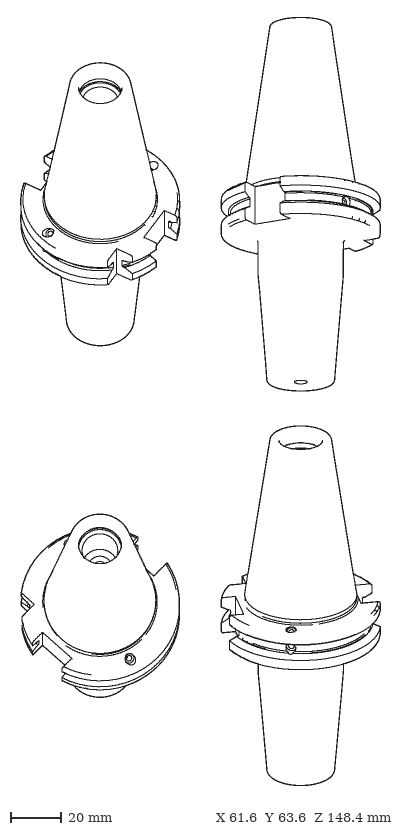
import cadquery as cq
import math

TOTAL_LENGTH = 148.4
EDGE_MATCH_TOLERANCE = 0.01

TAPER_RATE = 7 / 24
GAUGE_RADIUS = 22.3
GAUGE_Z = 80.0
TAPER_BOTTOM_Z = 79.0
TOP_EDGE_FILLET = 0.9

NECK_RADIUS = 22.3
NECK_TOP_Z = 78.0
NECK_FILLET = 0.6

FLANGE_RADIUS = 31.8
FLANGE_TOP_Z = 76.7
FLANGE_BOTTOM_Z = 61.0
FLANGE_HEIGHT = FLANGE_TOP_Z - FLANGE_BOTTOM_Z
FLANGE_EDGE_FILLET = 0.9
GROOVE_CENTRE_Z = 69.0
GROOVE_MOUTH = 7.1
GROOVE_ROOT_RADIUS = 28.0
GROOVE_ROOT_WIDTH = 3.9
GROOVE_ROOT_FILLET = 0.5
GROOVE_WALL_ANGLE = 30.0

KEYWAY_WIDTH = 16.0
LEFT_KEYWAY_X = -22.9
RIGHT_KEYWAY_X = 25.0
NOTCH_CORNER = 18.5

NOSE_RADIUS = 17.0
NOSE_FILLET = 3.0
NOSE_TAPER_Z = 44.5
NOSE_TIP_RADIUS = 13.5
NOSE_TIP_FILLET = 1.2

BORE_RADIUS = 8.6
BORE_DEPTH = 8.6
BORE_MOUTH_FILLET = 0.9
UNDERCUT_RADIUS = 9.2
UNDERCUT_START_DEPTH = 6.1
THREAD_RADIUS = 7.1
THREAD_MOUTH_HEIGHT = 0.9
THREAD_DEPTH = 29.7
DRILL_POINT_ANGLE = 118.0
FLOOR_RADIUS = 4.7
THROUGH_RADIUS = 2.5

COOLANT_ANGLES = (70.0, 250.0)
COOLANT_DIAMETER = 2.2
COUNTERBORE_DIAMETER = 4.0
COUNTERBORE_DEPTH = 2.1
COOLANT_MOUTH_RADIUS = 27.0
COOLANT_TILT = 35.0
COOLANT_OUTLET_Z = 68.9


def taper_radius(z):
    return GAUGE_RADIUS - (z - GAUGE_Z) * TAPER_RATE / 2


def revolve_outline(points):
    """Revolve a closed (radius, z) outline about the Z axis."""
    return cq.Workplane("XZ").polyline(points).close().revolve(360, (0, 0, 0), (0, 1, 0))


def fillet_circle(solid, radius, z, fillet):
    """Round the circular edges of the given radius that lie at height z."""
    def is_wanted(edge):
        radius_error = abs(edge.radius() - radius)
        height_error = abs(edge.Center().z - z)
        return max(radius_error, height_error) < EDGE_MATCH_TOLERANCE

    return solid.edges("%CIRCLE").filter(is_wanted).fillet(fillet)


def make_body():
    top_radius = taper_radius(TOTAL_LENGTH)
    half_root = GROOVE_ROOT_WIDTH / 2
    half_mouth = GROOVE_MOUTH / 2
    wall_foot_radius = FLANGE_RADIUS - (half_mouth - half_root) / math.tan(math.radians(GROOVE_WALL_ANGLE))
    body = revolve_outline(
        [
            (0, 0),
            (NOSE_TIP_RADIUS, 0),
            (NOSE_RADIUS, NOSE_TAPER_Z),
            (NOSE_RADIUS, FLANGE_BOTTOM_Z),
            (FLANGE_RADIUS, FLANGE_BOTTOM_Z),
            (FLANGE_RADIUS, GROOVE_CENTRE_Z - half_mouth),
            (wall_foot_radius, GROOVE_CENTRE_Z - half_root),
            (GROOVE_ROOT_RADIUS, GROOVE_CENTRE_Z - half_root),
            (GROOVE_ROOT_RADIUS, GROOVE_CENTRE_Z + half_root),
            (wall_foot_radius, GROOVE_CENTRE_Z + half_root),
            (FLANGE_RADIUS, GROOVE_CENTRE_Z + half_mouth),
            (FLANGE_RADIUS, FLANGE_TOP_Z),
            (NECK_RADIUS, FLANGE_TOP_Z),
            (NECK_RADIUS, NECK_TOP_Z),
            (taper_radius(TAPER_BOTTOM_Z), TAPER_BOTTOM_Z),
            (top_radius, TOTAL_LENGTH),
            (0, TOTAL_LENGTH),
        ]
    )
    body = fillet_circle(body, NOSE_TIP_RADIUS, 0, NOSE_TIP_FILLET)
    body = fillet_circle(body, NOSE_RADIUS, FLANGE_BOTTOM_Z, NOSE_FILLET)
    body = fillet_circle(body, FLANGE_RADIUS, FLANGE_BOTTOM_Z, FLANGE_EDGE_FILLET)
    body = fillet_circle(body, FLANGE_RADIUS, FLANGE_TOP_Z, FLANGE_EDGE_FILLET)
    body = fillet_circle(body, NECK_RADIUS, FLANGE_TOP_Z, NECK_FILLET)
    for root_z in (GROOVE_CENTRE_Z - half_root, GROOVE_CENTRE_Z + half_root):
        body = fillet_circle(body, GROOVE_ROOT_RADIUS, root_z, GROOVE_ROOT_FILLET)
    return fillet_circle(body, top_radius, TOTAL_LENGTH, TOP_EDGE_FILLET)


def make_bore():
    """Pilot bore with an undercut, then the thread core, its cone and flat floor, and the through hole."""
    bore_floor_z = TOTAL_LENGTH - BORE_DEPTH
    undercut_top_z = TOTAL_LENGTH - UNDERCUT_START_DEPTH
    thread_floor_z = TOTAL_LENGTH - THREAD_DEPTH
    point_height = (THREAD_RADIUS - FLOOR_RADIUS) / math.tan(math.radians(DRILL_POINT_ANGLE / 2))
    return revolve_outline(
        [
            (0, 0),
            (THROUGH_RADIUS, 0),
            (THROUGH_RADIUS, thread_floor_z),
            (FLOOR_RADIUS, thread_floor_z),
            (THREAD_RADIUS, thread_floor_z + point_height),
            (THREAD_RADIUS, bore_floor_z - THREAD_MOUTH_HEIGHT),
            (BORE_RADIUS, bore_floor_z),
            (UNDERCUT_RADIUS, bore_floor_z),
            (UNDERCUT_RADIUS, undercut_top_z),
            (BORE_RADIUS, undercut_top_z),
            (BORE_RADIUS, TOTAL_LENGTH),
            (0, TOTAL_LENGTH),
        ]
    )


def flange_cutter(x_min, x_max, y_min, y_max):
    """Box running through the full height of the flange."""
    box = cq.Workplane("XY").box(x_max - x_min, y_max - y_min, FLANGE_HEIGHT, centered=False)
    return box.translate((x_min, y_min, FLANGE_BOTTOM_Z))


def make_rim_cutouts():
    half_width = KEYWAY_WIDTH / 2
    left_keyway = flange_cutter(-FLANGE_RADIUS, LEFT_KEYWAY_X, -half_width, half_width)
    right_keyway = flange_cutter(RIGHT_KEYWAY_X, FLANGE_RADIUS, -half_width, half_width)
    corner_notch = flange_cutter(NOTCH_CORNER, FLANGE_RADIUS, -FLANGE_RADIUS, -NOTCH_CORNER)
    return left_keyway.union(right_keyway).union(corner_notch)


def drill(mouth, direction, depth, diameter):
    """Cylinder along the unit direction, from beyond the mouth point down to the given depth."""
    overrun = COUNTERBORE_DIAMETER
    outward = cq.Vector(*direction)
    bottom = cq.Vector(*mouth) - outward * depth
    return cq.Workplane(cq.Solid.makeCylinder(diameter / 2, depth + overrun, bottom, outward))


def counterbored_hole(mouth, direction, depth):
    core = drill(mouth, direction, depth, COOLANT_DIAMETER)
    return core.union(drill(mouth, direction, COUNTERBORE_DEPTH, COUNTERBORE_DIAMETER))


def make_coolant_channel(angle):
    """Slanted hole and radial hole, made in the +X half of the XZ plane and turned to the given angle."""
    tilt = math.radians(COOLANT_TILT)
    slant_direction = (math.sin(tilt), 0, math.cos(tilt))
    drop = FLANGE_TOP_Z - COOLANT_OUTLET_Z
    meeting_radius = COOLANT_MOUTH_RADIUS - drop * math.tan(tilt)
    slanted_mouth = (COOLANT_MOUTH_RADIUS, 0, FLANGE_TOP_Z)
    slanted = counterbored_hole(slanted_mouth, slant_direction, drop / math.cos(tilt))
    radial_mouth = (GROOVE_ROOT_RADIUS, 0, COOLANT_OUTLET_Z)
    radial = counterbored_hole(radial_mouth, (1, 0, 0), GROOVE_ROOT_RADIUS - meeting_radius)
    return slanted.union(radial).rotate((0, 0, 0), (0, 0, 1), angle)


result = make_body().cut(make_bore())
result = fillet_circle(result, BORE_RADIUS, TOTAL_LENGTH, BORE_MOUTH_FILLET)
result = result.cut(make_rim_cutouts())
for channel_angle in COOLANT_ANGLES:
    result = result.cut(make_coolant_channel(channel_angle))